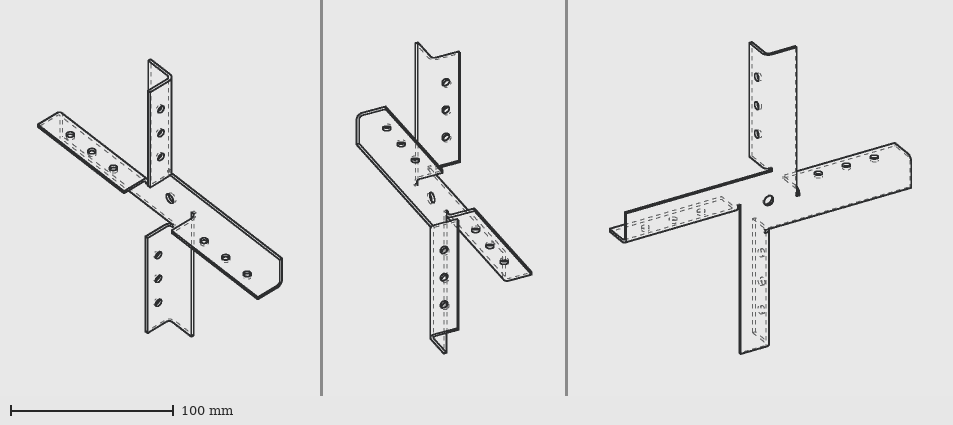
import cadquery as cq

span = 204.0
arm_width = 20.0
thickness = 2.0
bend_outer_radius = 4.3
flange_depth = 20.0
flange_length = 80.0
relief_overcut = 0.5
centre_hole_diameter = 6.5
flange_hole_diameter = 4.9
flange_hole_depth = 11.0
holes_per_flange = 3
arm_count = 4

half_span = span / 2
bend_inner_radius = bend_outer_radius - thickness
flange_outer = bend_outer_radius / 2
flange_inner = flange_outer - thickness
bend_start = flange_outer - bend_outer_radius
flange_start = half_span - flange_length
hole_pitch = flange_length / (holes_per_flange + 1)


def make_angle_section():
    """Bent L section of the upper arm, extruded along Z over the flange length."""
    section = (
        cq.Workplane("XY", origin=(0, 0, flange_start))
        .moveTo(-arm_width, 0)
        .lineTo(bend_start, 0)
        .radiusArc((flange_outer, -bend_outer_radius), bend_outer_radius)
        .lineTo(flange_outer, -flange_depth)
        .lineTo(flange_inner, -flange_depth)
        .lineTo(flange_inner, -bend_outer_radius)
        .radiusArc((bend_start, -thickness), -bend_inner_radius)
        .lineTo(-arm_width, -thickness)
        .close()
    )
    return section.extrude(flange_length)


def make_arm_root():
    """Flat strip joining the central square to the arm, short of the corner relief."""
    relief_edge = bend_start - relief_overcut
    root_width = arm_width + relief_edge
    return cq.Workplane("XY").box(
        root_width, thickness, flange_start, centered=False
    ).translate((-arm_width, -thickness, 0))


def make_flange_holes():
    """Row of evenly spaced holes through the flange, along X."""
    hole_places = [
        (-flange_hole_depth, flange_start + hole_pitch * (i + 1)) for i in range(holes_per_flange)
    ]
    return (
        cq.Workplane("YZ", origin=(flange_inner, 0, 0))
        .pushPoints(hole_places)
        .circle(flange_hole_diameter / 2)
        .extrude(thickness)
    )


def make_arm():
    """Upper arm with its flange on the +X side."""
    return make_angle_section().union(make_arm_root()).cut(make_flange_holes())


def make_centre_plate():
    """Central square of the cross, with its back face on Y = 0."""
    return cq.Workplane("XZ").rect(2 * arm_width, 2 * arm_width).extrude(thickness)


def make_centre_hole():
    """Round hole through the middle of the cross."""
    return cq.Workplane("XZ").circle(centre_hole_diameter / 2).extrude(thickness)


arm = make_arm()
bracket = make_centre_plate()
for i in range(arm_count):
    bracket = bracket.union(arm.rotate((0, 0, 0), (0, 1, 0), i * 360 / arm_count))

result = bracket.cut(make_centre_hole()).clean()